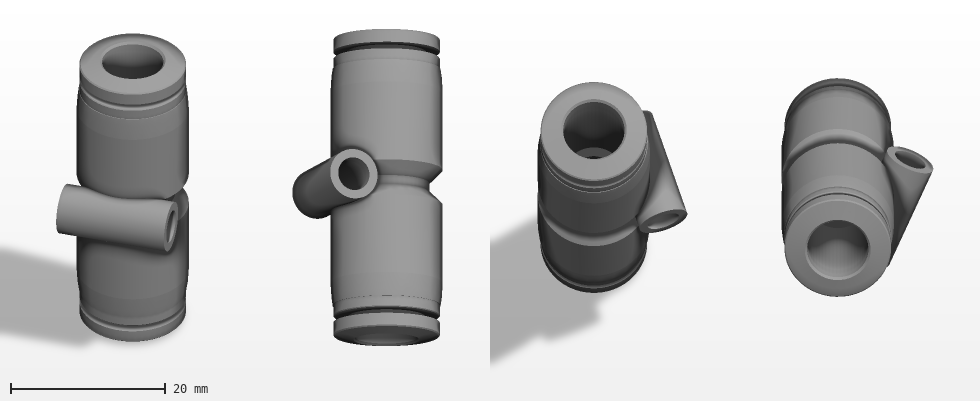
import cadquery as cq
import math

total_height = 40.1
half_height = total_height / 2
body_radius = 14.5 / 2
collar_radius = 13.8 / 2
neck_radius = 9.95 / 2
shoulder_end_radius = 6.98

crown_depth = 0.5
ring_edge_chamfer = 0.15
ring_bottom_depth = 2.2
neck_flare_height = 0.35
neck_flare_width = 0.12
body_end_depth = 3.05
body_edge_chamfer = 0.12
collar_depth = 4.5
shoulder_depth = 7.5

waist_half_width = 0.55
waist_flank = 1.72

through_bore_radius = 5.5 / 2
socket_radius = 7.95 / 2
socket_chamfer = 0.3
socket_depth = 16.05

tube_length = 14.5
tube_radius = 6.5 / 2
tube_bore_radius = 4.3 / 2
total_depth = 17.6
tube_offset = total_depth - body_radius - tube_radius


def shoulder_midpoint():
    """Middle of the shoulder arc that runs tangent into the body side."""
    height = shoulder_depth - collar_depth
    drop = body_radius - shoulder_end_radius
    arc_radius = (height**2 + drop**2) / (2 * drop)
    half_angle = math.asin(height / arc_radius) / 2
    radius = body_radius - arc_radius * (1 - math.cos(half_angle))
    z = half_height - shoulder_depth + arc_radius * math.sin(half_angle)
    return radius, z


def upper_half():
    """Upper half of the body with its end socket, from the XY plane to the end face."""
    collar_bottom = half_height - collar_depth
    body_end = half_height - body_end_depth
    ring_bottom = half_height - ring_bottom_depth
    crown_bottom = half_height - crown_depth
    waist_radius = body_radius - waist_flank
    socket_floor = half_height - socket_depth
    profile = (
        cq.Workplane("XZ")
        .moveTo(through_bore_radius, 0)
        .lineTo(waist_radius, 0)
        .lineTo(waist_radius, waist_half_width)
        .lineTo(body_radius, waist_half_width + waist_flank)
        .lineTo(body_radius, half_height - shoulder_depth)
        .threePointArc(shoulder_midpoint(), (shoulder_end_radius, collar_bottom))
        .lineTo(collar_radius, collar_bottom)
        .lineTo(collar_radius, body_end - body_edge_chamfer)
        .lineTo(collar_radius - body_edge_chamfer, body_end)
        .lineTo(neck_radius, body_end)
        .lineTo(neck_radius, ring_bottom - neck_flare_height)
        .lineTo(neck_radius + neck_flare_width, ring_bottom)
        .lineTo(collar_radius, ring_bottom)
        .lineTo(collar_radius, crown_bottom - ring_edge_chamfer)
        .lineTo(collar_radius - ring_edge_chamfer, crown_bottom)
        .lineTo(socket_radius + socket_chamfer, half_height)
        .lineTo(socket_radius, half_height - socket_chamfer)
        .lineTo(socket_radius, socket_floor)
        .lineTo(through_bore_radius, socket_floor)
        .close()
    )
    return profile.revolve(360, (0, 0, 0), (0, 1, 0))


def tube_cylinder(radius):
    """Cylinder on the mounting tube axis, centred on the YZ plane."""
    return (
        cq.Workplane("YZ", origin=(-tube_length / 2, -tube_offset, 0))
        .circle(radius)
        .extrude(tube_length)
    )


half = upper_half()
body = half.union(half.mirror("XY"))
result = body.union(tube_cylinder(tube_radius)).cut(tube_cylinder(tube_bore_radius))